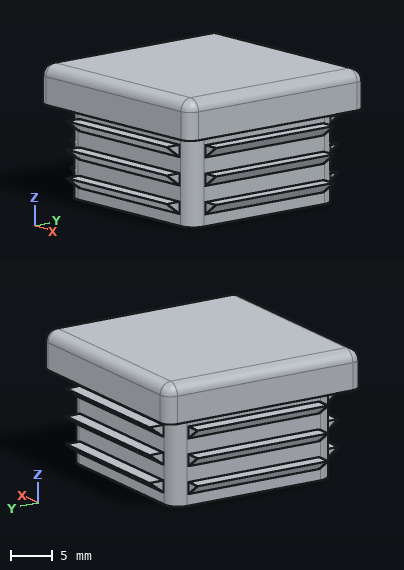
import cadquery as cq

cap_side = 28.0
cap_height = 5.0
cap_edge_radius = 1.5

plug_side = 23.0
plug_height = 11.5
plug_corner_radius = 2.0

barb_count = 3
barb_pitch = 3.5
barb_height = 1.5
barb_reach = 2.0
barb_length = 18.6
barb_root_depth = 1.0
top_barb_gap = 1.5


def make_cap():
    """Square cap with rounded vertical and top edges; its underside stays sharp."""
    cap = cq.Workplane("XY").workplane(offset=plug_height)
    cap = cap.rect(cap_side, cap_side).extrude(cap_height)
    return cap.edges("|Z or >Z").fillet(cap_edge_radius)


def make_plug():
    """Square plug with rounded corners, standing on Z = 0."""
    plug = cq.Workplane("XY").rect(plug_side, plug_side).extrude(plug_height)
    return plug.edges("|Z").fillet(plug_corner_radius)


def make_barb(top_z):
    """Triangular barb on the +X side: flat top, sloping underside, centred on Y = 0."""
    face_x = plug_side / 2
    root_x = face_x - barb_root_depth
    profile = [
        (root_x, top_z),
        (face_x + barb_reach, top_z),
        (face_x, top_z - barb_height),
        (root_x, top_z - barb_height),
    ]
    return cq.Workplane("XZ").polyline(profile).close().extrude(barb_length / 2, both=True)


def add_barbs(body):
    """Fuse evenly spaced levels of barbs onto each of the four plug sides."""
    for level in range(barb_count):
        barb = make_barb(plug_height - top_barb_gap - level * barb_pitch)
        for angle in (0, 90, 180, 270):
            body = body.union(barb.rotate((0, 0, 0), (0, 0, 1), angle))
    return body


result = add_barbs(make_cap().union(make_plug()))